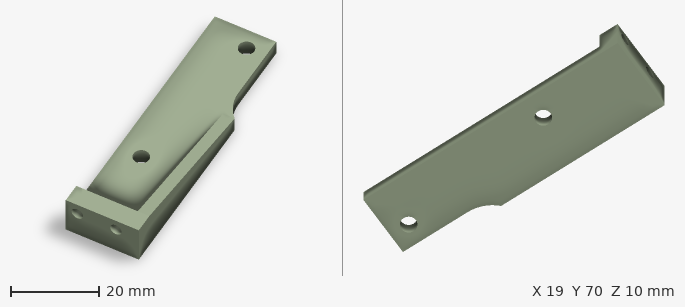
import cadquery as cq
import math

length = 70.0
width = 19.0
height = 10.0

plate_thickness = 4.0
block_depth = 5.0
rib_width = 3.0
rib_end_y = 45.0
narrow_width = width - rib_width

arc_radius = 10.0
arc_center_x = narrow_width + arc_radius

plate_hole_diameter = 4.0
plate_hole_centers = [(6.0, 24.6), (11.0, 65.0)]

block_hole_diameter = 3.0
block_hole_centers_x = [3.0, 13.0]
block_hole_z = 7.0


def make_plate():
    arc_end_angle = math.acos((arc_radius - rib_width) / arc_radius)
    arc_start_y = rib_end_y + arc_radius * math.sin(arc_end_angle)
    arc_middle = (
        arc_center_x - arc_radius * math.cos(arc_end_angle / 2),
        arc_start_y - arc_radius * math.sin(arc_end_angle / 2),
    )
    return (
        cq.Workplane("XY")
        .lineTo(width, 0)
        .lineTo(width, rib_end_y)
        .threePointArc(arc_middle, (narrow_width, arc_start_y))
        .lineTo(narrow_width, length)
        .lineTo(0, length)
        .close()
        .extrude(plate_thickness)
    )


def make_end_block():
    return cq.Workplane("XY").box(width, block_depth, height, centered=False)


def make_rib():
    return (
        cq.Workplane("YZ", origin=(narrow_width, 0, 0))
        .moveTo(block_depth, plate_thickness)
        .lineTo(rib_end_y, plate_thickness)
        .lineTo(block_depth, height)
        .close()
        .extrude(rib_width)
    )


def make_plate_holes():
    return (
        cq.Workplane("XY")
        .pushPoints(plate_hole_centers)
        .circle(plate_hole_diameter / 2)
        .extrude(plate_thickness)
    )


def make_block_holes():
    return (
        cq.Workplane("XZ")
        .pushPoints([(x, block_hole_z) for x in block_hole_centers_x])
        .circle(block_hole_diameter / 2)
        .extrude(-block_depth)
    )


body = make_plate().union(make_end_block()).union(make_rib())
result = body.cut(make_plate_holes()).cut(make_block_holes())